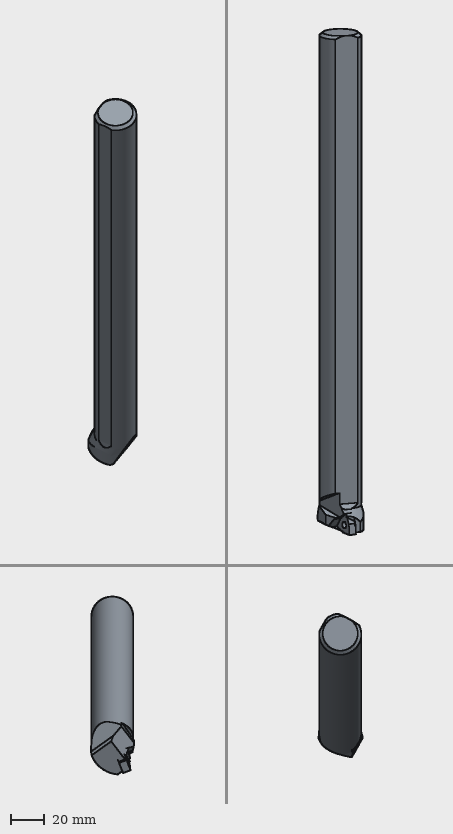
import cadquery as cq
import math

total_length = 301.2
total_width_x = 29.5
total_width_y = 25.5
bar_diameter = 25.0
bar_radius = bar_diameter / 2
flat_x_depth = 2.25
flat_y_depth = 0.85
flat_x = flat_x_depth - bar_radius
flat_y = flat_y_depth - bar_radius
flat_end_z = 17.8
runout_drop = 3.0
end_chamfer_radial = 2.0
end_chamfer_height = 1.8

neck_z = 15.0
flare_radius = 16.5
flare_x = -4.2
flare_y = 1.5
head_bottom_z = 1.0
head_front_y = bar_radius - total_width_y
head_back_y = 11.7
head_left_x = -14.8
head_seam_x = -1.0
head_left_radius = 18.7
head_right_radius = 15.0
undercut_top_z = 19.0
undercut_foot_x = 4.8
head_edge_chamfer_x = 4.0
head_edge_chamfer_slope = 0.7
clearance_slope = 0.43

gullet_apex_x = 9.0
gullet_apex_z = 15.7
gullet_upper_slope = 0.46
gullet_lower_slope = 0.3
gullet_floor_angle = 22.0
gullet_floor_y = 4.5
rake_wall_angle = 45.0
rake_wall_offset = 17.8

tip_x = bar_radius - total_width_x
tip_y = 1.0
insert_inscribed_radius = 4.8
insert_thickness = 4.8
insert_hole_diameter = 4.0
insert_corner_angle = 80.0
insert_tilt = 15.0
tip_direction = 225.0
corner_count = 3
corner_pitch = 360.0 / corner_count
blunt_pitch = corner_pitch / 2

reach = 60.2


def insert_plane():
    """Plane on the rake face with its origin at the tip and its normal pointing into the head."""
    tilt = math.radians(insert_tilt)
    return cq.Plane(
        origin=(tip_x, tip_y, 0),
        xDir=(math.cos(tilt), math.sin(tilt), 0),
        normal=(math.sin(tilt), -math.cos(tilt), 0),
    )


corner_distance = insert_inscribed_radius / math.sin(math.radians(insert_corner_angle / 2))
blunt_half_angle = 180 - blunt_pitch - insert_corner_angle / 2
blunt_distance = insert_inscribed_radius / math.sin(math.radians(blunt_half_angle))
insert_centre = corner_distance * math.sqrt(0.5)


def trigon_prism(start, depth):
    """Three-cornered insert shape with bent sides, one corner at the tip."""
    points = []
    for corner in range(corner_count):
        angle = tip_direction + corner_pitch * corner
        for distance, turn in ((corner_distance, 0), (blunt_distance, blunt_pitch)):
            direction = math.radians(angle + turn)
            points.append((
                insert_centre + distance * math.cos(direction),
                insert_centre + distance * math.sin(direction),
            ))
    return (
        cq.Workplane(insert_plane())
        .workplane(offset=start)
        .polyline(points)
        .close()
        .extrude(depth)
    )


def make_insert():
    body = trigon_prism(0, insert_thickness)
    hole = (
        cq.Workplane(insert_plane())
        .center(insert_centre, insert_centre)
        .circle(insert_hole_diameter / 2)
        .extrude(insert_thickness)
    )
    return body.cut(hole)


def flat_cutter(flat_position):
    """Removes everything beyond a flat on the -X side, with a sloped run-out at the bottom."""
    return (
        cq.Workplane("XZ", origin=(0, reach / 2, 0))
        .polyline([
            (-bar_radius, flat_end_z - runout_drop),
            (flat_position, flat_end_z),
            (flat_position, total_length),
            (-reach, total_length),
            (-reach, flat_end_z - runout_drop),
        ])
        .close()
        .extrude(reach)
    )


def make_shank():
    return (
        cq.Workplane("XZ")
        .polyline([
            (0, neck_z),
            (bar_radius, neck_z),
            (bar_radius, total_length - end_chamfer_height),
            (bar_radius - end_chamfer_radial, total_length),
            (0, total_length),
        ])
        .close()
        .revolve(360, (0, 0), (0, 1))
    )


def make_head():
    leaning = (
        cq.Workplane("XY", origin=(0, 0, neck_z))
        .circle(bar_radius)
        .workplane(offset=-neck_z)
        .center(flare_x, flare_y)
        .circle(flare_radius)
        .loft(ruled=True)
    )
    right_centre_y = head_front_y + head_right_radius
    left_centre_y = head_front_y + head_left_radius
    left_run = head_seam_x - head_left_x
    left_y = left_centre_y - math.sqrt(head_left_radius**2 - left_run**2)
    half_angle = math.asin(left_run / head_left_radius) / 2
    left_middle = (
        head_seam_x - head_left_radius * math.sin(half_angle),
        left_centre_y - head_left_radius * math.cos(half_angle),
    )
    diagonal = math.sqrt(0.5) * head_right_radius
    right_middle = (head_seam_x + diagonal, right_centre_y - diagonal)
    outline = (
        cq.Workplane("XY", origin=(0, 0, head_bottom_z))
        .moveTo(head_seam_x, head_front_y)
        .threePointArc(right_middle, (head_seam_x + head_right_radius, right_centre_y))
        .lineTo(head_seam_x + head_right_radius, head_back_y)
        .lineTo(head_left_x, head_back_y)
        .lineTo(head_left_x, left_y)
        .threePointArc(left_middle, (head_seam_x, head_front_y))
        .close()
        .extrude(neck_z)
    )
    return leaning.intersect(outline)


def bottom_clearance():
    return (
        cq.Workplane("YZ", origin=(-reach / 2, 0, 0))
        .polyline([(0, 0), (reach, clearance_slope * reach), (reach, 0)])
        .close()
        .extrude(reach)
    )


def side_undercut():
    return (
        cq.Workplane("XZ", origin=(0, reach / 2, 0))
        .polyline([(undercut_foot_x, 0), (bar_radius, undercut_top_z), (reach, undercut_top_z), (reach, 0)])
        .close()
        .extrude(reach)
    )


def bottom_bevel():
    return (
        cq.Workplane("XZ", origin=(0, reach / 2, 0))
        .polyline([
            (head_edge_chamfer_x, head_bottom_z),
            (reach, head_bottom_z + head_edge_chamfer_slope * (reach - head_edge_chamfer_x)),
            (reach, head_bottom_z),
        ])
        .close()
        .extrude(reach)
    )


def chip_space(angle, wall_y_at_axis):
    """Everything on the +Y side of an upright wall turned about Z."""
    return (
        cq.Workplane("XY")
        .box(2 * reach, reach, 2 * reach, centered=(True, False, True))
        .rotate((0, 0, 0), (0, 0, 1), angle)
        .translate((0, wall_y_at_axis, 0))
    )


def gullet():
    """V-shaped chip gullet along Y with a sloped floor."""
    run = gullet_apex_x + reach
    wedge = (
        cq.Workplane("XZ", origin=(0, reach, 0))
        .polyline([
            (gullet_apex_x, gullet_apex_z),
            (-reach, gullet_apex_z + gullet_upper_slope * run),
            (-reach, gullet_apex_z - gullet_lower_slope * run),
        ])
        .close()
        .extrude(2 * reach)
    )
    floor_at_axis = gullet_floor_y - flat_x * math.tan(math.radians(gullet_floor_angle))
    return wedge.intersect(chip_space(gullet_floor_angle, floor_at_axis))


def rake_gap():
    """Chip space below the gullet, bounded by the steep rake wall."""
    below = cq.Workplane("XY").box(2 * reach, 2 * reach, gullet_apex_z, centered=(True, True, False))
    return below.intersect(chip_space(rake_wall_angle, rake_wall_offset))


def make_bar():
    bar = make_shank().union(make_head())
    bar = bar.cut(flat_cutter(flat_x))
    bar = bar.cut(flat_cutter(flat_y).rotate((0, 0, 0), (0, 0, 1), 90))
    bar = bar.cut(bottom_clearance()).cut(bottom_bevel()).cut(side_undercut())
    bar = bar.cut(gullet()).cut(rake_gap())
    return bar.cut(trigon_prism(-reach, reach + insert_thickness))


bar = make_bar()
insert = make_insert()

result = cq.Compound.makeCompound([*bar.vals(), insert.val()])